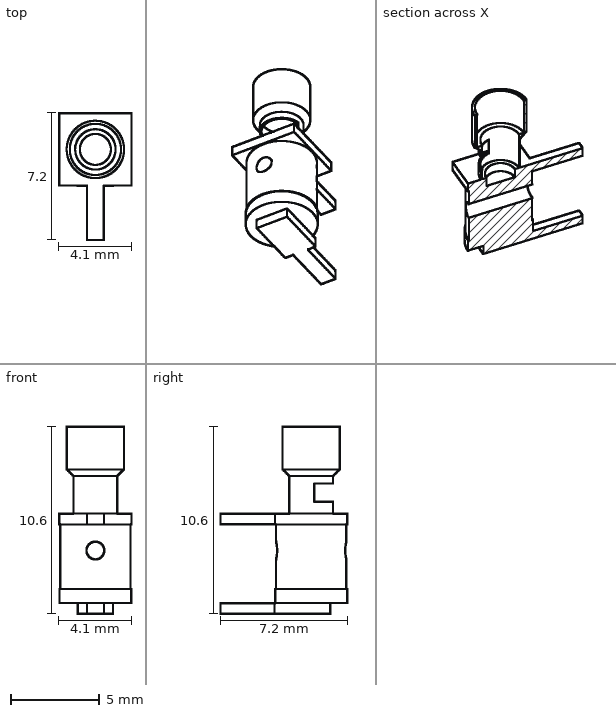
import cadquery as cq

total_height = 10.6
plate_side = 4.1
reach = 7.2
tab_tip_y = plate_side / 2 - reach
tab_width = 0.96
plate_thickness = 0.6

foot_width = 2.0
foot_back_y = 1.08
foot_front_y = -2.07

flange_diameter = 4.09
flange_top_z = 1.41
body_diameter = 4.0
plate_bottom_z = 5.07
plate_top_z = plate_bottom_z + plate_thickness

cross_hole_diameter = 1.0
cross_hole_z = 3.58

neck_diameter = 2.49
neck_top_z = 7.8
cup_diameter = 3.25
cup_bottom_z = 8.18

cup_bore_diameter = 2.9
neck_bore_diameter = 2.29
plate_bore_diameter = 1.76

slot_bottom_z = 6.36
slot_height = 1.01
slot_front_y = 0.18


def cylinder(diameter, bottom_z, top_z):
    """Upright cylinder on the part axis."""
    return cq.Workplane("XY").workplane(offset=bottom_z).circle(diameter / 2).extrude(top_z - bottom_z)


def block(width, front_y, back_y, bottom_z, height):
    """Box centred on X, given by its Y limits and its bottom."""
    box = cq.Workplane("XY").box(width, back_y - front_y, height, centered=(True, False, False))
    return box.translate((0, front_y, bottom_z))


def tabbed_plate(width, front_y, back_y, bottom_z):
    """Flat plate with a narrow solder tab reaching toward -Y."""
    plate = block(width, front_y, back_y, bottom_z, plate_thickness)
    return plate.union(block(tab_width, tab_tip_y, back_y, bottom_z, plate_thickness))


def outer_body():
    """Foot, body and mounting plate, all solid."""
    foot = tabbed_plate(foot_width, foot_front_y, foot_back_y, 0)
    flange = cylinder(flange_diameter, plate_thickness, flange_top_z)
    barrel = cylinder(body_diameter, flange_top_z, plate_bottom_z)
    plate = tabbed_plate(plate_side, -plate_side / 2, plate_side / 2, plate_bottom_z)
    return foot.union(flange).union(barrel).union(plate)


def neck_and_cup():
    """Solid neck flaring out to the cup, as one turned profile."""
    return (
        cq.Workplane("XZ")
        .moveTo(0, plate_top_z)
        .lineTo(neck_diameter / 2, plate_top_z)
        .lineTo(neck_diameter / 2, neck_top_z)
        .lineTo(cup_diameter / 2, cup_bottom_z)
        .lineTo(cup_diameter / 2, total_height)
        .lineTo(0, total_height)
        .close()
        .revolve(360, (0, 0, 0), (0, 1, 0))
    )


def stepped_bore():
    """Cup bore, neck bore and the smaller hole through the plate."""
    cup_bore = cylinder(cup_bore_diameter, cup_bottom_z, total_height)
    neck_bore = cylinder(neck_bore_diameter, plate_top_z, cup_bottom_z)
    plate_bore = cylinder(plate_bore_diameter, plate_bottom_z, plate_top_z)
    return cup_bore.union(neck_bore).union(plate_bore)


def cross_hole():
    """Round hole through the whole body along Y."""
    circle = cq.Workplane("XZ").center(0, cross_hole_z).circle(cross_hole_diameter / 2)
    return circle.extrude(body_diameter, both=True)


def neck_slot():
    """Cut that removes the +Y side of the neck over the slot height."""
    return block(neck_diameter, slot_front_y, neck_diameter, slot_bottom_z, slot_height)


result = (
    outer_body()
    .union(neck_and_cup())
    .cut(stepped_bore())
    .cut(cross_hole())
    .cut(neck_slot())
)